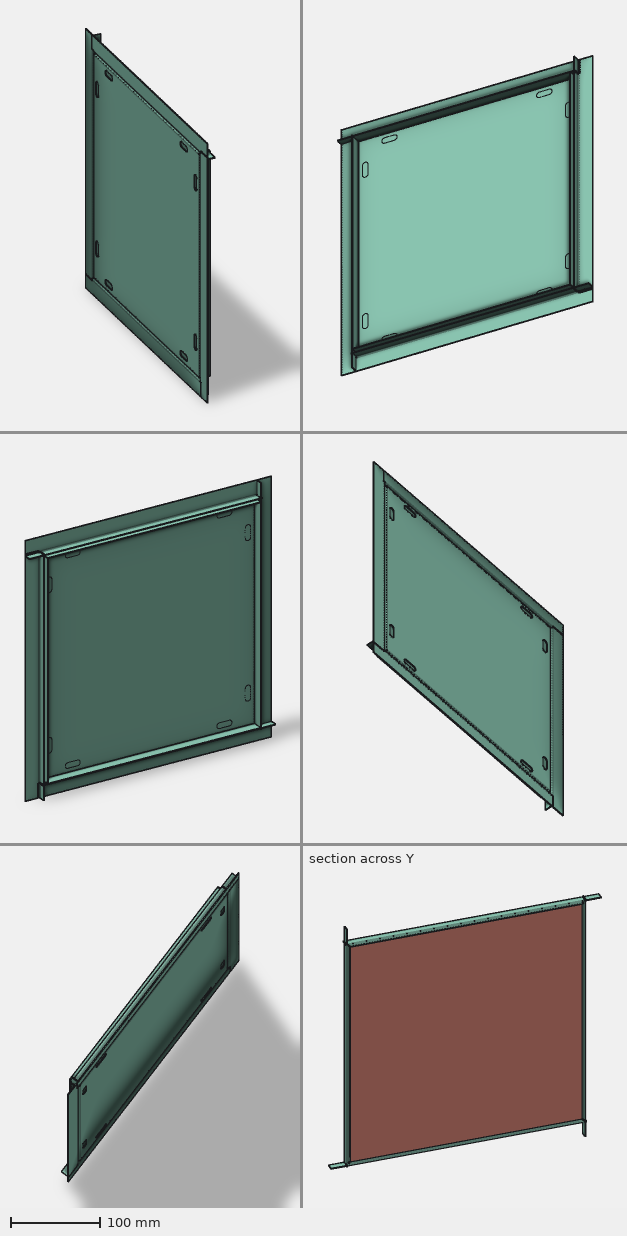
import cadquery as cq

sheet = 1.3
bend_radius = 2.0

frame_half = 162.0
opening_half = 142.0
leg_depth = 10.0
butted_half = 144.5
corner_gap = 1.0

bend_start = opening_half + bend_radius
leg_back = opening_half + sheet
lap_depth = (bend_radius + leg_depth) / 2

panel_half = 141.0
panel_depth = 14.0
corner_relief = 0.5
panel_bend_start = panel_half - bend_radius
panel_wall_half = panel_half - corner_relief

slot_length = 19.8
slot_width = 7.0
slot_along = 99.7
slot_across = 130.8

backing_half = panel_bend_start
backing_thickness = sheet

sides = range(4)


def block(x_limits, y_limits, z_limits):
    """Box between a lower and an upper limit on each axis."""
    (x0, x1), (y0, y1), (z0, z1) = x_limits, y_limits, z_limits
    return cq.Workplane("XY").box(x1 - x0, y1 - y0, z1 - z0, centered=False).translate((x0, y0, z0))


def turned(shape, side):
    """Shape for the top side, turned by quarter turns about the centre axis to another side."""
    return shape.rotate((0, 0, 0), (0, 1, 0), 90 * side)


def bend(x_limits, tangent, wall_face):
    """Quarter ring along X between the face plate's edge at Z = tangent and a wall at Z = wall_face."""
    x0, x1 = x_limits
    ring = (
        cq.Workplane("YZ", origin=(x0, bend_radius, tangent))
        .circle(bend_radius)
        .circle(bend_radius - sheet)
        .extrude(x1 - x0)
    )
    return ring.intersect(block(x_limits, (0, bend_radius), sorted((tangent, wall_face))))


def frame_strip():
    """Top strip: butted end at -X, free end at +X that reaches the corner of the frame."""
    across_leg = (opening_half, leg_back)
    bend_span = (-opening_half, bend_start)

    flange = block((-butted_half, frame_half), (0, sheet), (bend_start, frame_half))
    clearance = block((bend_start, frame_half), (0, sheet), (bend_start, butted_half + corner_gap))
    bent = bend(bend_span, bend_start, opening_half)
    leg = block((-butted_half, frame_half), (bend_radius, leg_depth), across_leg)
    strip = flange.cut(clearance).union(bent).union(leg)

    butted_lap = block((-leg_back, -opening_half), (bend_radius, lap_depth), across_leg)
    free_lap = block(across_leg, (lap_depth, leg_depth), across_leg)
    return strip.cut(butted_lap).cut(free_lap)


def panel_wall():
    """Top wall of the panel with the bend that joins it to the face."""
    wall_span = (-panel_wall_half, panel_wall_half)
    wall = block(wall_span, (bend_radius, panel_depth), (panel_half - sheet, panel_half))
    return wall.union(bend(wall_span, panel_bend_start, panel_half))


def panel_slots():
    """Two rounded slots through the face, along the top side."""
    return (
        cq.Workplane("XZ")
        .pushPoints([(-slot_along, slot_across), (slot_along, slot_across)])
        .slot2D(slot_length, slot_width)
        .extrude(-sheet)
    )


def slotted_panel():
    """Square face with a bent wall and a pair of slots on each side."""
    face_span = (-panel_bend_start, panel_bend_start)
    panel = block(face_span, (0, sheet), face_span)
    for side in sides:
        panel = panel.union(turned(panel_wall(), side))
        panel = panel.cut(turned(panel_slots(), side))
    return panel


def backing_plate():
    """Plain plate against the rear of the panel's face; it closes the slots."""
    span = (-backing_half, backing_half)
    return block(span, (sheet, sheet + backing_thickness), span)


frame_strips = [turned(frame_strip(), side) for side in sides]
panel = slotted_panel()
backing = backing_plate()

result = cq.Compound.makeCompound([panel.val(), backing.val(), *[strip.val() for strip in frame_strips]])